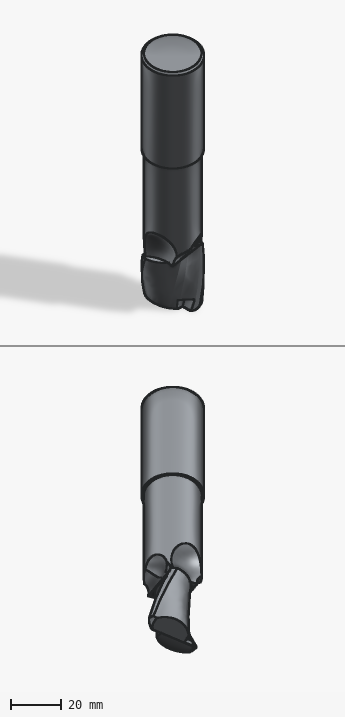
import cadquery as cq

total_length = 130.0
shank_radius = 12.5
neck_radius = 11.6
shank_start = 80.2
joint_height = 27.0
end_chamfer = 1.0

head_twist = 52.0
corner_radius = 3.9
tip_rise = 1.7
tip_reach = 6.1

cutting_edge = (-7.0, -10.3)
land_end = (-4.7, -11.5)
heel_bulge = (2.9, -8.3)
heel_end = (6.4, -1.8)
flute_root = (6.2, 2.1)
flute_middle = (5.8, 5.5)
flute_lip = (6.4, 8.5)

gash_inner_x = 5.3
gash_profile = [(-0.3, 0.0), (1.7, 5.0), (-4.2, 5.6), (-4.2, 0.0)]

runout_radius = 9.0
runout_depth_x = 6.6
scoop_radius = 14.3
scoop_center = (2.6, -20.7, 32.5)
lobe_radius = 9.1
lobe_center = (15.6, 3.9, 29.9)


def opposite(point):
    return (-point[0], -point[1])


def half_turn(body):
    return body.rotate((0, 0, 0), (0, 0, 1), 180)


def cut_both_sides(body, cutter):
    """Cut a tool and its copy turned half a turn about the tool axis."""
    return body.cut(cutter).cut(half_turn(cutter))


def make_shank():
    neck_length = shank_start - joint_height
    shank = cq.Workplane().circle(neck_radius).extrude(neck_length).translate((0, 0, joint_height))
    grip = (
        cq.Workplane()
        .workplane(offset=shank_start)
        .circle(shank_radius)
        .extrude(total_length - shank_start)
        .faces(">Z")
        .chamfer(end_chamfer)
    )
    shank = shank.union(grip)
    side_relief = (
        cq.Workplane("XZ")
        .center(runout_depth_x + runout_radius, joint_height)
        .circle(runout_radius)
        .extrude(shank_radius, both=True)
    )
    scoop = cq.Workplane().sphere(scoop_radius).translate(scoop_center)
    lobe = cq.Workplane().sphere(lobe_radius).translate(lobe_center)
    for cutter in (side_relief, scoop, lobe):
        shank = cut_both_sides(shank, cutter)
    return shank


def twisted_blank():
    """Two-tooth section twisted from the joint down to the tip."""
    blank = (
        cq.Workplane()
        .moveTo(*cutting_edge)
        .lineTo(*land_end)
        .threePointArc(heel_bulge, heel_end)
        .lineTo(*flute_root)
        .threePointArc(flute_middle, flute_lip)
        .lineTo(*opposite(cutting_edge))
        .lineTo(*opposite(land_end))
        .threePointArc(opposite(heel_bulge), opposite(heel_end))
        .lineTo(*opposite(flute_root))
        .threePointArc(opposite(flute_middle), opposite(flute_lip))
        .close()
        .twistExtrude(joint_height, head_twist)
    )
    return blank.rotate((0, 0, 0), (0, 0, 1), -head_twist)


def tip_envelope():
    """Round-cornered cylinder with a roof-shaped end whose ridge lies along X."""
    envelope = cq.Workplane().circle(shank_radius).extrude(joint_height)
    envelope = envelope.faces("<Z").edges().fillet(corner_radius)
    edge_rise = tip_rise * shank_radius / tip_reach
    roof = (
        cq.Workplane("YZ")
        .polyline([
            (0, 0),
            (shank_radius, edge_rise),
            (shank_radius, joint_height),
            (-shank_radius, joint_height),
            (-shank_radius, edge_rise),
        ])
        .close()
        .extrude(shank_radius, both=True)
    )
    return envelope.intersect(roof)


def make_head():
    head = twisted_blank().intersect(tip_envelope())
    gash = (
        cq.Workplane("YZ", origin=(gash_inner_x, 0, 0))
        .polyline(gash_profile)
        .close()
        .extrude(shank_radius - gash_inner_x)
    )
    return cut_both_sides(head, gash)


shank = make_shank()
cutting_head = make_head()

result = cq.Compound.makeCompound([shank.val(), cutting_head.val()])